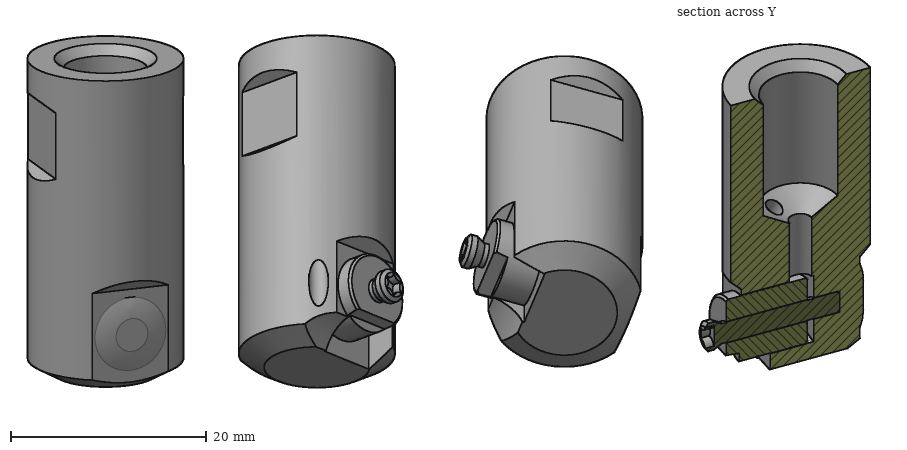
import cadquery as cq
import math

body_radius = 8.0
body_height = 33.5
nose_height = 1.5
nose_angle = 30.0
nose_radius = body_radius - nose_height / math.tan(math.radians(nose_angle))

bore_radius = 4.25
bore_floor_z = 19.0
bore_floor_angle = 31.0
mouth_radius = 5.25
mouth_depth = 1.0
center_hole_radius = 1.25

wrench_flat_y = 7.0
wrench_flat_low = 22.45
wrench_flat_high = 29.5
wrench_run_out = 0.8

side_flat_x = 6.83
side_flat_high = 10.75
side_run_out = body_radius - side_flat_x

cross_z = 6.0
pocket_floor_x = 1.5
slot_floor_x = -3.5
slot_edge_y = 2.5

pad_radius = 3.9
pad_height = 0.42
pad_root_x = 5.0
pad_flat_radius = 1.75

coolant_radius = 1.0
coolant_angle = 23.0
coolant_heading = 135.0
coolant_overrun = 2.0

relief_center = (-8.0, -1.6)
relief_radius = 4.6

insert_radius = 4.0
insert_face_x = -8.55
insert_end_x = 0.83
insert_chamfer = 0.25
step_x = -7.05
step_drop = 3.0
step_taper = 0.18

shank_radius = 1.25
shank_end_x = 4.5
shank_chamfer = 0.25
head_end_x = -10.92
head_end_radius = 1.3
head_radius = 1.74
head_round_x = -10.58
head_cone_start_x = -9.94
head_cone_end_x = -9.06
torx_tip_radius = 1.24
torx_root_radius = 0.84
torx_depth = 1.0
torx_lobes = 6


def x_cylinder(radius, x_from, x_to):
    """Cylinder lying on the cross axis between two X positions."""
    start = cq.Workplane("YZ", origin=(x_from, 0, cross_z))
    return start.circle(radius).extrude(x_to - x_from)


def cross_revolve(profile):
    """Turn an X-Z profile, closed along the cross axis, about that axis."""
    return profile.close().revolve(360, (0, 0, 0), (1, 0, 0))


def cross_profile():
    return cq.Workplane("XZ", origin=(0, 0, cross_z))


def turned_blank():
    outline = (
        cq.Workplane("XZ")
        .lineTo(nose_radius, 0)
        .lineTo(body_radius, nose_height)
        .lineTo(body_radius, body_height)
        .lineTo(0, body_height)
        .close()
    )
    return outline.revolve(360, (0, 0, 0), (0, 1, 0))


def bore():
    floor_slope = math.tan(math.radians(bore_floor_angle))
    floor_tip_z = bore_floor_z - bore_radius * floor_slope
    outline = (
        cq.Workplane("XZ")
        .moveTo(0, cross_z)
        .lineTo(center_hole_radius, cross_z)
        .lineTo(center_hole_radius, floor_tip_z + center_hole_radius * floor_slope)
        .lineTo(bore_radius, bore_floor_z)
        .lineTo(bore_radius, body_height - mouth_depth)
        .lineTo(mouth_radius, body_height)
        .lineTo(0, body_height)
        .close()
    )
    return outline.revolve(360, (0, 0, 0), (0, 1, 0))


def wrench_flat_cut(side):
    outline = (
        cq.Workplane("YZ", origin=(-body_radius, 0, 0))
        .moveTo(side * wrench_flat_y, wrench_flat_low)
        .lineTo(side * body_radius, wrench_flat_low - wrench_run_out)
        .lineTo(side * body_radius, wrench_flat_high + wrench_run_out)
        .lineTo(side * wrench_flat_y, wrench_flat_high)
        .close()
    )
    return outline.extrude(2 * body_radius)


def side_flat_cut(side):
    outline = (
        cq.Workplane("XZ", origin=(0, body_radius, 0))
        .moveTo(side * side_flat_x, 0)
        .lineTo(side * side_flat_x, side_flat_high)
        .lineTo(side * body_radius, side_flat_high + side_run_out)
        .lineTo(side * body_radius, 0)
        .close()
    )
    return outline.extrude(2 * body_radius)


def insert_pocket():
    slot_depth = slot_floor_x + body_radius
    slot_width = slot_edge_y + insert_radius
    slot = cq.Workplane("XY").box(slot_depth, slot_width, cross_z, centered=False)
    slot = slot.translate((-body_radius, -insert_radius, 0))
    return slot.union(x_cylinder(insert_radius, -body_radius, pocket_floor_x))


def chip_relief():
    start = cq.Workplane("XZ", origin=(0, slot_edge_y, 0))
    return start.center(*relief_center).circle(relief_radius).extrude(-body_radius)


def coolant_hole():
    heading = math.radians(coolant_heading)
    slope = math.radians(coolant_angle)
    outlet = cq.Vector(body_radius * math.cos(heading), body_radius * math.sin(heading), cross_z)
    upward = cq.Vector(
        -math.sin(slope) * math.cos(heading),
        -math.sin(slope) * math.sin(heading),
        math.cos(slope),
    )
    outlet_reach = coolant_overrun * coolant_radius / math.sin(slope)
    rise = bore_floor_z + coolant_overrun * coolant_radius - cross_z
    length = outlet_reach + rise / math.cos(slope)
    start = outlet - upward * outlet_reach
    return cq.Workplane(cq.Solid.makeCylinder(coolant_radius, length, start, upward))


def crowned_pad():
    crown_x = side_flat_x + pad_height
    rim_run = pad_radius - pad_flat_radius
    crown_radius = (rim_run ** 2 + pad_height ** 2) / (2 * pad_height)
    half_angle = math.asin(rim_run / crown_radius) / 2
    mid_x = crown_x - crown_radius * (1 - math.cos(half_angle))
    mid_radius = pad_flat_radius + crown_radius * math.sin(half_angle)
    profile = (
        cross_profile()
        .moveTo(pad_root_x, 0)
        .lineTo(crown_x, 0)
        .lineTo(crown_x, pad_flat_radius)
        .threePointArc((mid_x, mid_radius), (side_flat_x, pad_radius))
        .lineTo(pad_root_x, pad_radius)
    )
    return cross_revolve(profile)


housing = turned_blank().cut(bore())
for side in (-1, 1):
    housing = housing.cut(wrench_flat_cut(side)).cut(side_flat_cut(side))
housing = housing.union(crowned_pad())
housing = housing.cut(insert_pocket()).cut(chip_relief()).cut(coolant_hole())
housing = housing.cut(x_cylinder(shank_radius, pocket_floor_x, shank_end_x))


def step_cut():
    face_z = cross_z - step_drop
    outline = (
        cq.Workplane("XZ", origin=(0, insert_radius, 0))
        .moveTo(step_x, face_z)
        .lineTo(insert_face_x, face_z + step_taper)
        .lineTo(insert_face_x, cross_z - insert_radius)
        .lineTo(step_x, cross_z - insert_radius)
        .close()
    )
    return outline.extrude(2 * insert_radius)


insert = x_cylinder(insert_radius, insert_face_x, insert_end_x)
insert = insert.faces("<X or >X").chamfer(insert_chamfer)
insert = insert.cut(step_cut())
insert = insert.cut(x_cylinder(shank_radius, insert_face_x, insert_end_x))


def torx_recess():
    """Six-pointed recess whose points are joined by arcs bulging toward the axis."""
    half_pitch = math.pi / torx_lobes

    def on_circle(radius, step):
        angle = math.pi / 2 + step * half_pitch
        return radius * math.cos(angle), radius * math.sin(angle)

    outline = cq.Workplane("YZ", origin=(head_end_x, 0, cross_z)).moveTo(*on_circle(torx_tip_radius, 0))
    for lobe in range(torx_lobes):
        root = on_circle(torx_root_radius, 2 * lobe + 1)
        next_tip = on_circle(torx_tip_radius, 2 * lobe + 2)
        outline = outline.threePointArc(root, next_tip)
    return outline.close().extrude(torx_depth)


screw = cross_revolve(
    cross_profile()
    .moveTo(head_end_x, 0)
    .lineTo(head_end_x, head_end_radius)
    .lineTo(head_round_x, head_radius)
    .lineTo(head_cone_start_x, head_radius)
    .lineTo(head_cone_end_x, shank_radius)
    .lineTo(shank_end_x - shank_chamfer, shank_radius)
    .lineTo(shank_end_x, shank_radius - shank_chamfer)
    .lineTo(shank_end_x, 0)
)
screw = screw.cut(torx_recess())

result = cq.Compound.makeCompound([housing.val(), insert.val(), screw.val()])